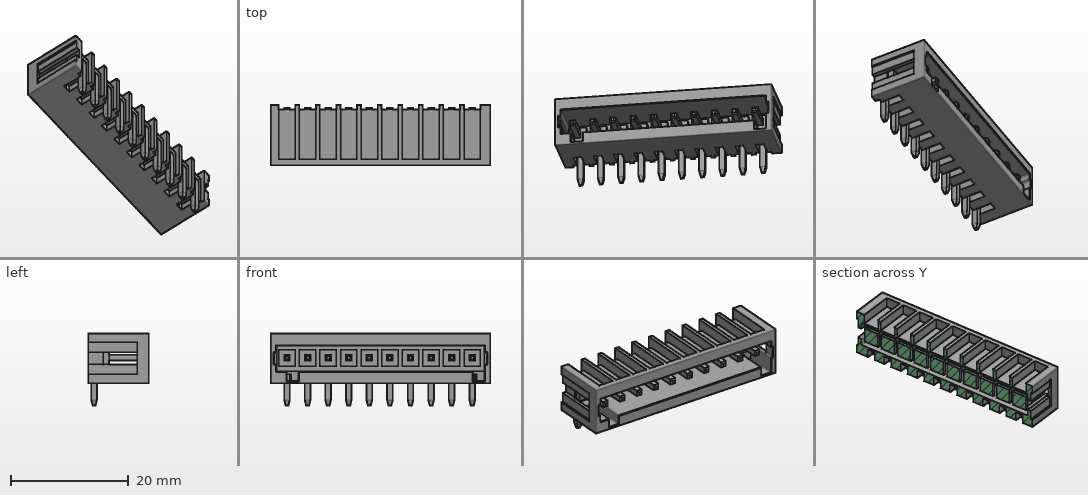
import cadquery as cq

LENGTH = 37.4
DEPTH = 10.3
HEIGHT = 8.5
EDGE_RADIUS = 0.1

PIN_COUNT = 10
PITCH = 3.5
FIRST_PIN_X = 2.8
PIN_SIZE = 1.0
PIN_TIP_SIZE = 0.5
LEG_TIP_LENGTH = 1.0
ARM_TIP_LENGTH = 0.3
PIN_BACK_Y = 9.8
PIN_FRONT_Y = 0.85
PIN_AXIS_Z = 4.37
PIN_BELOW_HOUSING = 3.8

CAVITY_WALL = 1.02
CAVITY_BOTTOM_Z = 2.05
CAVITY_TOP_Z = 6.4
CAVITY_DEPTH = 7.75
CAVITY_CORNER_RADIUS = 0.15
MOUTH_CHAMFER = 0.12
BLOCK_SIZE = 2.8
BLOCK_LENGTH = 1.0
BLOCK_CENTRE_Z = 4.3

KEY_WIDTH = 1.95
KEY_DEPTH = 6.0
KEY_FLOOR_Z = 0.42
LEFT_KEY_X = 2.8
RIGHT_KEY_X = LENGTH - CAVITY_WALL - KEY_WIDTH

RIB = 0.7
POCKET_WIDTH = PITCH - RIB
POCKET_FRONT_Y = 1.0
POCKET_FLOOR_Z = 6.7
REAR_FACE_Y = 9.5

GROOVE_WIDTH = 1.4
GROOVE_TOP_Z = 1.55

RECESS_DEPTH = 0.3
RECESS_FRONT_Y = 2.0
RECESS_BOTTOM_Z = 1.53
RECESS_TOP_Z = 6.95
SLOT_BOTTOM_Z = 3.25
SLOT_TOP_Z = 5.25
SLOT_DEPTH = 1.0
NOTCH_WALL = 0.62

PIN_XS = [FIRST_PIN_X + i * PITCH for i in range(PIN_COUNT)]


def box(x0, x1, y0, y1, z0, z1):
    """Box between two opposite corners."""
    return cq.Workplane("XY").box(x1 - x0, y1 - y0, z1 - z0, centered=False).translate((x0, y0, z0))


def mirrored_pair(shape):
    """The shape together with its mirror image about the middle of the length."""
    middle = (LENGTH / 2, 0, 0)
    return shape.union(shape.mirror("YZ", middle))


def cavity():
    """Mating cavity with a notch in each end wall and two keying slots in its floor."""
    room = box(CAVITY_WALL, LENGTH - CAVITY_WALL, 0, CAVITY_DEPTH, CAVITY_BOTTOM_Z, CAVITY_TOP_Z)
    for x in (LEFT_KEY_X, RIGHT_KEY_X):
        room = room.union(box(x, x + KEY_WIDTH, 0, KEY_DEPTH, KEY_FLOOR_Z, CAVITY_TOP_Z))
    notch = box(NOTCH_WALL, CAVITY_WALL, 0, CAVITY_DEPTH, SLOT_BOTTOM_Z, SLOT_TOP_Z)
    room = room.union(mirrored_pair(notch)).clean()
    return room.edges("|Y").fillet(CAVITY_CORNER_RADIUS)


def end_openings():
    """Recess and deeper slot in each end face."""
    recess = box(0, RECESS_DEPTH, RECESS_FRONT_Y, DEPTH, RECESS_BOTTOM_Z, RECESS_TOP_Z)
    slot = box(0, SLOT_DEPTH, RECESS_FRONT_Y, DEPTH, SLOT_BOTTOM_Z, SLOT_TOP_Z)
    return mirrored_pair(recess.union(slot))


def contact(x):
    """Right-angle square contact with tapered ends."""
    half = PIN_SIZE / 2
    axis_y = PIN_BACK_Y - half
    front_straight = PIN_FRONT_Y + ARM_TIP_LENGTH
    bottom_straight = LEG_TIP_LENGTH - PIN_BELOW_HOUSING
    arm = box(x - half, x + half, front_straight, PIN_BACK_Y, PIN_AXIS_Z - half, PIN_AXIS_Z + half)
    leg = box(x - half, x + half, axis_y - half, PIN_BACK_Y, bottom_straight, PIN_AXIS_Z + half)
    arm = taper(arm, "<Y", ARM_TIP_LENGTH)
    leg = taper(leg, "<Z", LEG_TIP_LENGTH)
    return arm.union(leg)


def taper(bar, end, length):
    """Add a tapered tip to the end face of a square bar."""
    return (
        bar.faces(end).workplane(centerOption="CenterOfMass")
        .rect(PIN_SIZE, PIN_SIZE)
        .workplane(offset=length)
        .rect(PIN_TIP_SIZE, PIN_TIP_SIZE)
        .loft(combine=True)
    )


def mouth_chamfered(body):
    """Chamfer the cavity outline on the mating face, leaving the outer edges alone."""
    inside_outline = cq.selectors.BoxSelector(
        (EDGE_RADIUS * 2, -EDGE_RADIUS, EDGE_RADIUS * 2),
        (LENGTH - EDGE_RADIUS * 2, EDGE_RADIUS, HEIGHT - EDGE_RADIUS * 2),
    )
    return body.faces("<Y").edges(inside_outline).chamfer(MOUTH_CHAMFER)


def position_openings(x):
    """Roof pocket, rear channel and bottom groove of the contact position at x."""
    left = x - POCKET_WIDTH / 2
    right = x + POCKET_WIDTH / 2
    pocket = box(left, right, POCKET_FRONT_Y, DEPTH, POCKET_FLOOR_Z, HEIGHT)
    channel = box(left, right, REAR_FACE_Y, DEPTH, 0, HEIGHT)
    groove_left = x - GROOVE_WIDTH / 2
    groove_right = x + GROOVE_WIDTH / 2
    groove = box(groove_left, groove_right, KEY_DEPTH, DEPTH, 0, GROOVE_TOP_Z)
    return pocket.union(channel).union(groove)


def block(x):
    """Raised square block on the back wall of the cavity, around the contact at x."""
    half = BLOCK_SIZE / 2
    front = CAVITY_DEPTH - BLOCK_LENGTH
    return box(x - half, x + half, front, CAVITY_DEPTH, BLOCK_CENTRE_Z - half, BLOCK_CENTRE_Z + half)


def housing():
    """Open-backed housing with rounded outer edges, without the contacts."""
    body = box(0, LENGTH, 0, DEPTH, 0, HEIGHT).edges().fillet(EDGE_RADIUS)
    body = mouth_chamfered(body.cut(cavity()))
    body = body.cut(end_openings())
    for x in PIN_XS:
        body = body.cut(position_openings(x)).union(block(x))
    return body


result = housing()
for pin_x in PIN_XS:
    result = result.union(contact(pin_x))